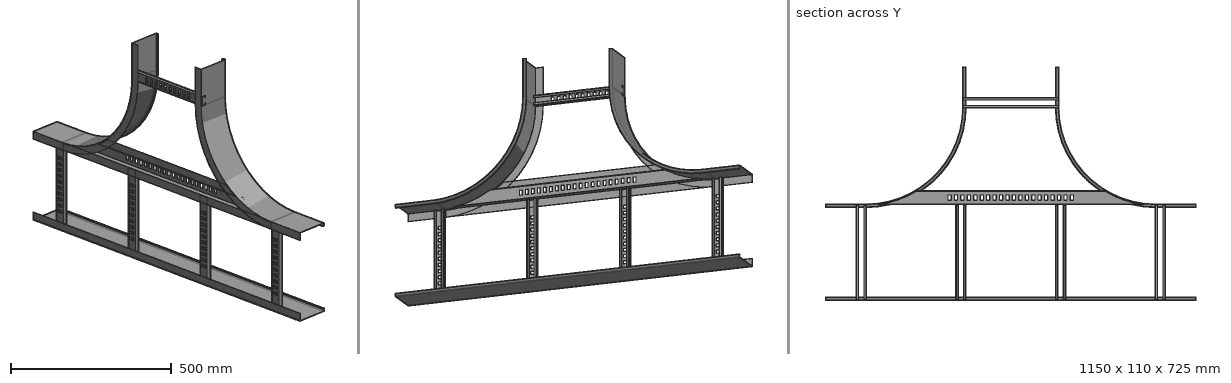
import cadquery as cq

run_length = 1150.0
tray_depth = 110.0
sheet = 2.0
clearance = 2.0

tray_width = 300.0
bend_radius = 300.0
straight_end = (run_length - tray_width - 2 * bend_radius) / 2
total_height = tray_width + bend_radius + straight_end
web_spacing = tray_width - 2 * sheet
front_flange = 26.0
back_lip = 12.0
lip_return = 8.0
lip_bend_radius = 3.0
front_y = -tray_depth / 2
back_y = tray_depth / 2

rung_width = 32.0
rung_depth = 16.0
rung_lip = 8.0
rung_front_gap = 1.0
rung_end_margin = 110.0
rung_front_y = front_y + 2 * sheet + rung_front_gap
run_rung_count = 4
run_rung_pitch = (run_length - 2 * rung_end_margin) / (run_rung_count - 1)

slot_pitch = 20.0
slot_length = 16.0
slot_width = 9.0
rung_slot_count = 10
plate_slot_count = 20

plate_front_y = front_y + sheet
plate_depth = 21.0
plate_flange = 26.0
plate_height = 92.0
plate_bottom = tray_width - front_flange
plate_middle = plate_bottom + plate_height / 2
plate_length = run_length - 2 * rung_end_margin - rung_width


def rail_profile():
    """Rail section at the left end of the run: web at Z = 0, flange and lip hanging below it."""
    inner_radius = lip_bend_radius - sheet
    bend_y = back_y - lip_bend_radius
    upper_bend_z = -lip_bend_radius
    lower_bend_z = lip_bend_radius - back_lip
    inner_back_y = back_y - sheet
    return_y = back_y - lip_return
    return (
        cq.Workplane("YZ", origin=(-run_length / 2, 0, 0))
        .moveTo(front_y, 0)
        .lineTo(bend_y, 0)
        .radiusArc((back_y, upper_bend_z), lip_bend_radius)
        .lineTo(back_y, lower_bend_z)
        .radiusArc((bend_y, -back_lip), lip_bend_radius)
        .lineTo(return_y, -back_lip)
        .lineTo(return_y, sheet - back_lip)
        .lineTo(bend_y, sheet - back_lip)
        .radiusArc((inner_back_y, lower_bend_z), -inner_radius)
        .lineTo(inner_back_y, upper_bend_z)
        .radiusArc((bend_y, -sheet), -inner_radius)
        .lineTo(front_y + sheet, -sheet)
        .lineTo(front_y + sheet, -front_flange)
        .lineTo(front_y, -front_flange)
        .close()
    )


def make_bottom_rail():
    return rail_profile().extrude(run_length).mirror("XY")


def make_left_rail():
    """Straight end, quarter bend and straight branch leg, swept along the outer web face."""
    bend_start_x = -run_length / 2 + straight_end
    path = (
        cq.Workplane("XZ")
        .moveTo(-run_length / 2, 0)
        .lineTo(bend_start_x, 0)
        .tangentArcPoint((bend_radius, bend_radius))
        .lineTo(-tray_width / 2, total_height - tray_width)
    )
    return rail_profile().sweep(path).translate((0, 0, tray_width))


def punch_slots(body, count, middle_y, middle_z):
    """Cut a centred row of slots along X through the front wall of a body."""
    slots = (
        cq.Workplane("XZ", origin=(0, middle_y, middle_z))
        .rarray(slot_pitch, 12, count, 1)
        .rect(slot_width, slot_length)
        .extrude(sheet, both=True)
    )
    return body.cut(slots)


def make_rung(length):
    """Lipped, slotted channel along X, centred on X and Z and open towards +Y."""
    rung_back_y = rung_front_y + rung_depth
    rung_middle_y = rung_front_y + rung_depth / 2
    opening_width = rung_width - 2 * rung_lip
    outside = (
        cq.Workplane("XY")
        .box(length, rung_depth, rung_width)
        .translate((0, rung_middle_y, 0))
    )
    inside = (
        cq.Workplane("XY")
        .box(length, rung_depth - 2 * sheet, rung_width - 2 * sheet)
        .translate((0, rung_middle_y, 0))
    )
    opening = (
        cq.Workplane("XY")
        .box(length, 2 * sheet, opening_width)
        .translate((0, rung_back_y, 0))
    )
    return punch_slots(outside.cut(inside).cut(opening), rung_slot_count, rung_front_y, 0)


def space_inside_curved_rails():
    """Block that clears the inner web faces of the curved bends."""
    cut_radius = bend_radius + sheet + clearance
    bend_centre_x = tray_width / 2 + bend_radius
    block = (
        cq.Workplane("XY")
        .box(2 * bend_centre_x, tray_depth, total_height)
        .translate((0, 0, total_height / 2))
    )
    bends = (
        cq.Workplane("XZ", origin=(0, back_y, tray_width + bend_radius))
        .pushPoints([(-bend_centre_x, 0), (bend_centre_x, 0)])
        .circle(cut_radius)
        .extrude(tray_depth)
    )
    return block.cut(bends)


def make_crossing_plate():
    """Hat section: two front flanges, two ledges and a slotted recessed web."""
    plate_back_y = plate_front_y + plate_depth
    low = -plate_height / 2
    ledge = low + plate_flange
    lower_front = [
        (plate_front_y, low),
        (plate_front_y, ledge),
        (plate_back_y - sheet, ledge),
    ]
    lower_back = [
        (plate_back_y, ledge - sheet),
        (plate_front_y + sheet, ledge - sheet),
        (plate_front_y + sheet, low),
    ]
    upper_front = [(y, -z) for y, z in reversed(lower_front)]
    upper_back = [(y, -z) for y, z in reversed(lower_back)]
    hat = (
        cq.Workplane("YZ")
        .polyline(lower_front + upper_front + upper_back + lower_back)
        .close()
        .extrude(plate_length / 2, both=True)
        .translate((0, 0, plate_middle))
    )
    trimmed = hat.intersect(space_inside_curved_rails())
    return punch_slots(trimmed, plate_slot_count, plate_back_y - sheet / 2, plate_middle)


bottom_rail = make_bottom_rail()
left_rail = make_left_rail()
right_rail = left_rail.mirror("YZ")
crossing_plate = make_crossing_plate()
branch_rung = make_rung(web_spacing).translate((0, 0, total_height - rung_end_margin))

upright_rung = make_rung(web_spacing - 2 * clearance).rotate((0, 0, 0), (0, 1, 0), 90)
run_rungs = []
for index in range(run_rung_count):
    rung_x = -run_length / 2 + rung_end_margin + index * run_rung_pitch
    run_rungs.append(upright_rung.translate((rung_x, 0, tray_width / 2)))

result = cq.Compound.makeCompound([
    bottom_rail.val(),
    left_rail.val(),
    right_rail.val(),
    crossing_plate.val(),
    branch_rung.val(),
    *[rung.val() for rung in run_rungs],
])